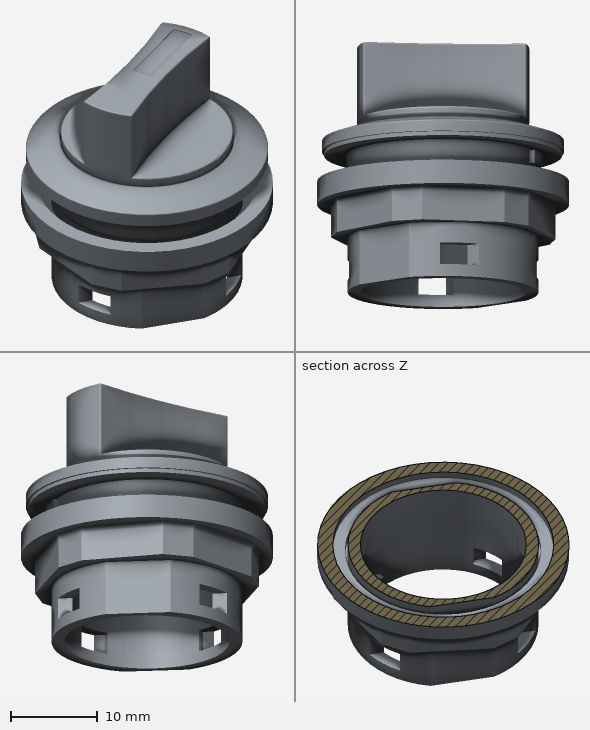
import cadquery as cq
import math

nut_bottom_z = 6.32
flange_bottom_z = 10.25
recess_floor_z = 11.22
barrel_bottom_z = 12.4
flange_top_z = 12.95
bezel_bottom_z = 15.98
lip_top_z = 16.45
rim_top_z = 17.75
bezel_top_z = 18.97
disc_top_z = 20.07
grip_top_z = 28.65

grip_turn = 22.5
tube_turn = -22.0

tube_diameter = 21.98
tube_bore_diameter = 19.02
tube_flat_width = 20.65
window_inner_offset = 5.02
window_outer_offset = 8.53
window_end_wall = 5.65
window_bottom_z = 1.4
window_top_z = 3.92

barrel_diameter = 22.2
barrel_taper_height = 0.3
key_reach = 11.6
key_width = 2.9
key_bottom_z = 14.25
key_top_z = 15.78

flange_diameter = 29.0
nut_across_flats = 24.0
nut_across_corners = 25.6
nut_fillet = 0.5
recess_diameter = 25.35
nut_bore_diameter = 22.6

lip_diameter = 27.4
rim_diameter = 27.9
bezel_face_diameter = 20.47
bezel_opening_diameter = 20.05
bezel_opening_depth = 1.0
rim_fillet = 0.2

knob_diameter = 19.85
grip_end_half_width = 3.2
grip_waist_half_width = 2.55
knob_fillet = 0.2
marker_width = 2.46
marker_start = -1.2
marker_end = 8.73
marker_corner = 0.25
marker_depth = 0.1


def cylinder(diameter, bottom_z, top_z):
    """Upright cylinder on the main axis."""
    return cq.Workplane("XY").workplane(offset=bottom_z).circle(diameter / 2).extrude(top_z - bottom_z)


def block(x_range, y_range, z_range):
    """Box spanning the given (low, high) ranges."""
    sizes = [high - low for low, high in (x_range, y_range, z_range)]
    corner = cq.Vector(x_range[0], y_range[0], z_range[0])
    return cq.Workplane("XY").box(*sizes, centered=False).translate(corner)


def turned(shape, angle):
    """Turn a shape about the main axis."""
    return shape.rotate((0, 0, 0), (0, 0, 1), angle)


def level_band(z):
    """Selector for the edges centred at one height."""
    reach = flange_diameter
    tolerance = 0.03
    return cq.selectors.BoxSelector((-reach, -reach, z - tolerance), (reach, reach, z + tolerance))


def make_tube():
    """Tube body with a flat on either side."""
    half_flat = tube_flat_width / 2
    half_length = tube_diameter / 2
    between_flats = block((-half_flat, half_flat), (-half_length, half_length), (0, barrel_bottom_z))
    return cylinder(tube_diameter, 0, barrel_bottom_z).intersect(turned(between_flats, tube_turn))


def make_windows():
    """Four cutters along the tube flats, each ending inside on a wall that points at the axis."""
    reach = tube_diameter / 2
    outline = [
        (window_inner_offset, reach),
        (window_outer_offset, reach),
        (window_outer_offset, window_end_wall),
        (window_inner_offset, window_end_wall * window_inner_offset / window_outer_offset),
    ]
    one = (
        cq.Workplane("XY")
        .workplane(offset=window_bottom_z)
        .polyline(outline)
        .close()
        .extrude(window_top_z - window_bottom_z)
    )
    pair = one.union(one.mirror("YZ"))
    return turned(pair.union(pair.mirror("XZ")), tube_turn)


def make_barrel():
    """Barrel under the bezel, tapered at its lower edge, with the locating key."""
    taper = (barrel_diameter - tube_diameter) / 2
    barrel = cylinder(barrel_diameter, barrel_bottom_z - barrel_taper_height, bezel_bottom_z)
    barrel = barrel.faces("<Z").chamfer(barrel_taper_height, taper)
    key = block((-key_width / 2, key_width / 2), (0, key_reach), (key_bottom_z, key_top_z))
    return barrel.union(key)


def hexagon(across_flats, flat_angle):
    """Hexagonal prism of the nut, with one flat facing the given angle."""
    half_side_angle = 30
    corner_diameter = across_flats / math.cos(math.radians(half_side_angle))
    prism = cq.Workplane("XY").polygon(6, corner_diameter).extrude(flange_bottom_z - nut_bottom_z)
    return turned(prism, flat_angle - half_side_angle).translate((0, 0, nut_bottom_z))


def make_nut():
    """Corner-cut hexagon blended into a round flange that is recessed from above."""
    nut = hexagon(nut_across_flats, 90).intersect(hexagon(nut_across_corners, 0))
    nut = nut.union(cylinder(flange_diameter, flange_bottom_z, flange_top_z))
    nut = nut.edges(level_band(flange_bottom_z)).edges("%LINE").fillet(nut_fillet)
    nut = nut.cut(cylinder(recess_diameter, recess_floor_z, flange_top_z))
    return nut.cut(cylinder(nut_bore_diameter, flange_bottom_z, recess_floor_z))


def make_bezel():
    """Conical bezel with a stepped lip below and an opening around the knob."""
    lip_radius = lip_diameter / 2
    rim_radius = rim_diameter / 2
    profile = [
        (0, bezel_bottom_z),
        (lip_radius, bezel_bottom_z),
        (lip_radius, lip_top_z),
        (rim_radius, lip_top_z),
        (rim_radius, rim_top_z),
        (bezel_face_diameter / 2, bezel_top_z),
        (0, bezel_top_z),
    ]
    bezel = cq.Workplane("XZ").polyline(profile).close().revolve(360, (0, 0, 0), (0, 1, 0))
    bezel = bezel.edges(level_band(rim_top_z)).fillet(rim_fillet)
    return bezel.cut(cylinder(bezel_opening_diameter, bezel_top_z - bezel_opening_depth, bezel_top_z))


def make_knob():
    """Disc and waisted grip of one diameter, with softened edges and a marker recess."""
    radius = knob_diameter / 2
    end_y = math.sqrt(radius**2 - grip_end_half_width**2)
    base_z = bezel_top_z - bezel_opening_depth
    disc = cylinder(knob_diameter, base_z, disc_top_z).faces(">Z").edges().fillet(knob_fillet)
    grip = (
        cq.Workplane("XY")
        .workplane(offset=base_z)
        .moveTo(grip_end_half_width, -end_y)
        .threePointArc((grip_waist_half_width, 0), (grip_end_half_width, end_y))
        .threePointArc((0, radius), (-grip_end_half_width, end_y))
        .threePointArc((-grip_waist_half_width, 0), (-grip_end_half_width, -end_y))
        .threePointArc((0, -radius), (grip_end_half_width, -end_y))
        .close()
        .extrude(grip_top_z - base_z)
        .edges("|Z or >Z")
        .fillet(knob_fillet)
    )
    marker = (
        block(
            (-marker_width / 2, marker_width / 2),
            (marker_start, marker_end),
            (grip_top_z - marker_depth, grip_top_z),
        )
        .edges("|Z")
        .fillet(marker_corner)
    )
    return turned(disc.union(grip).cut(marker), grip_turn)


result = make_tube().union(make_nut()).union(make_barrel())
result = result.cut(cylinder(tube_bore_diameter, 0, barrel_bottom_z))
result = result.cut(make_windows())
result = result.union(make_bezel()).union(make_knob())